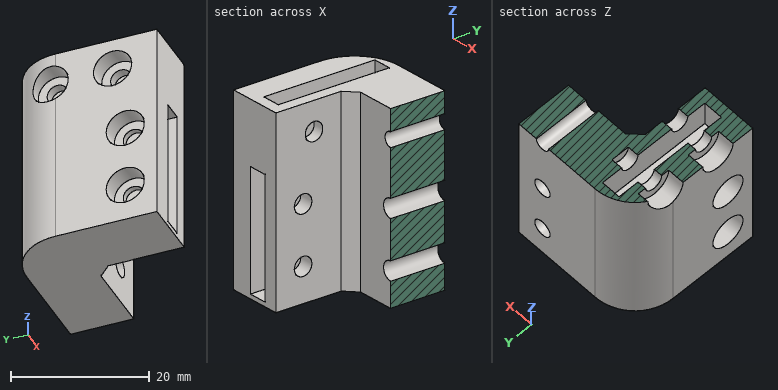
import cadquery as cq

ARM_LENGTH = 24.0
ARM_THICKNESS = 10.0
HEIGHT = 32.0
OUTER_RADIUS = 8.0
INNER_CHAMFER = 2.0

UPPER_BAND_HEIGHT = ARM_THICKNESS
LOWER_BAND_HEIGHT = HEIGHT - UPPER_BAND_HEIGHT

POCKET_LENGTH = 20.4
POCKET_WIDTH = 3.4
POCKET_DEPTH = 10.0
END_POCKET_X = 5.7
TOP_POCKET_X = 6.3
TOP_POCKET_Y = 12.2

SCREW_DIAMETER = 3.2
HEAD_DIAMETER = 6.0
HEAD_DEPTH = 3.0
SMALL_HOLE_DIAMETER = 2.5
HOLE_SPACING = 10.0
HOLE_END_DISTANCE = 5.0
LOWER_HOLE_Z = LOWER_BAND_HEIGHT / 2 - HOLE_SPACING / 2
LOWER_HOLE_HEIGHTS = (LOWER_HOLE_Z, LOWER_HOLE_Z + HOLE_SPACING)
UPPER_HOLE_Z = HEIGHT - UPPER_BAND_HEIGHT / 2
UPPER_HOLE_Y = 7.0
UPPER_HOLE_PLACES = (UPPER_HOLE_Y, UPPER_HOLE_Y + HOLE_SPACING)


def make_body():
    """L-shaped prism with a rounded outer corner and a chamfered inner corner."""
    inner_y = ARM_LENGTH - ARM_THICKNESS
    outline = (
        cq.Workplane("XY")
        .polyline([
            (0, 0),
            (ARM_THICKNESS, 0),
            (ARM_THICKNESS, inner_y),
            (ARM_LENGTH, inner_y),
            (ARM_LENGTH, ARM_LENGTH),
            (0, ARM_LENGTH),
        ])
        .close()
    )
    body = outline.extrude(HEIGHT)
    outer_corner = cq.selectors.NearestToPointSelector((0, ARM_LENGTH, HEIGHT / 2))
    inner_corner = cq.selectors.NearestToPointSelector((ARM_THICKNESS, inner_y, HEIGHT / 2))
    body = body.edges(outer_corner).fillet(OUTER_RADIUS)
    return body.edges(inner_corner).chamfer(INNER_CHAMFER)


def make_end_pocket():
    """Upright pocket in the end face of the arm that runs along Y."""
    return (
        cq.Workplane("XY")
        .box(POCKET_WIDTH, POCKET_DEPTH, POCKET_LENGTH)
        .translate((END_POCKET_X, POCKET_DEPTH / 2, LOWER_BAND_HEIGHT / 2))
    )


def make_top_pocket():
    """Pocket sunk into the top face along the same arm."""
    return (
        cq.Workplane("XY")
        .box(POCKET_WIDTH, POCKET_LENGTH, POCKET_DEPTH)
        .translate((TOP_POCKET_X, TOP_POCKET_Y, HEIGHT - POCKET_DEPTH / 2))
    )


def make_counterbored_hole(y, z):
    """Screw hole along X, one arm thickness deep, with its head recess at X = 0."""
    face = cq.Workplane("YZ").center(y, z)
    shank = face.circle(SCREW_DIAMETER / 2).extrude(ARM_THICKNESS)
    head = face.circle(HEAD_DIAMETER / 2).extrude(HEAD_DEPTH)
    return shank.union(head)


def make_cross_hole(z, diameter):
    """Plain hole along Y through the arm that runs along X."""
    return (
        cq.Workplane("XZ", origin=(ARM_LENGTH - HOLE_END_DISTANCE, ARM_LENGTH, z))
        .circle(diameter / 2)
        .extrude(ARM_THICKNESS)
    )


result = make_body().cut(make_end_pocket()).cut(make_top_pocket())

for hole_z in LOWER_HOLE_HEIGHTS:
    result = result.cut(make_counterbored_hole(HOLE_END_DISTANCE, hole_z))
    result = result.cut(make_cross_hole(hole_z, SCREW_DIAMETER))

for hole_y in UPPER_HOLE_PLACES:
    result = result.cut(make_counterbored_hole(hole_y, UPPER_HOLE_Z))

result = result.cut(make_cross_hole(UPPER_HOLE_Z, SMALL_HOLE_DIAMETER))